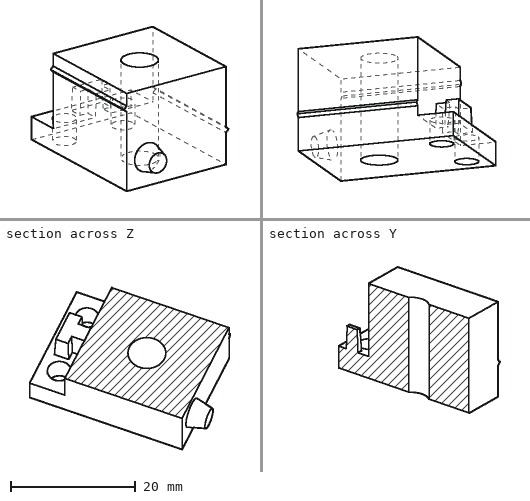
import cadquery as cq

total_length = 29.5
width = 19.5
base_height = 3.98
total_height = 17.0
block_start = 6.08
peg_length = 2.98
block_end = total_length - peg_length
block_length = block_end - block_start

bore_diameter = 6.0
mount_hole_diameter = 3.8
mount_hole_x = 3.48
mount_hole_offset = 5.72

ridge_depth = 0.5
front_ridge_z = 14.3
back_ridge_z = 6.05

key_start = 1.5
key_bar_end = 3.98
key_bar_width = 6.05
key_stem_width = 3.05
key_height = 4.07
key_inset = 0.18

peg_root_diameter = 4.93
peg_tip_diameter = 3.42
peg_y = -mount_hole_offset
peg_z = 5.0


def make_body():
    profile = [
        (0, 0),
        (block_end, 0),
        (block_end, total_height),
        (block_start, total_height),
        (block_start, base_height),
        (0, base_height),
    ]
    return cq.Workplane("XZ").polyline(profile).close().extrude(width / 2, both=True)


def make_ridge(side, z):
    """V ridge the full length of the block; side is -1 for -Y and 1 for +Y."""
    face_y = side * width / 2
    profile = [
        (face_y, z - ridge_depth),
        (face_y + side * ridge_depth, z),
        (face_y, z + ridge_depth),
    ]
    return cq.Workplane("YZ", origin=(block_start, 0, 0)).polyline(profile).close().extrude(block_length)


def key_outline(inset):
    """T outline with its free sides moved inward; the stem always ends at the block."""
    bar_half = key_bar_width / 2 - inset
    stem_half = key_stem_width / 2 - inset
    front = key_start + inset
    bar_end = key_bar_end - inset
    return [
        (front, -bar_half),
        (bar_end, -bar_half),
        (bar_end, -stem_half),
        (block_start, -stem_half),
        (block_start, stem_half),
        (bar_end, stem_half),
        (bar_end, bar_half),
        (front, bar_half),
    ]


def make_key():
    bottom = cq.Workplane("XY", origin=(0, 0, base_height)).polyline(key_outline(0)).close()
    top = bottom.workplane(offset=key_height, origin=(0, 0, base_height))
    return top.polyline(key_outline(key_inset)).close().loft(ruled=True)


def make_peg():
    root = cq.Workplane("YZ", origin=(block_end, peg_y, peg_z)).circle(peg_root_diameter / 2)
    return root.workplane(offset=peg_length).circle(peg_tip_diameter / 2).loft()


def make_hole(x, y, diameter):
    return cq.Workplane("XY").center(x, y).circle(diameter / 2).extrude(total_height)


result = make_body()
result = result.union(make_ridge(-1, front_ridge_z))
result = result.union(make_ridge(1, back_ridge_z))
result = result.union(make_key())
result = result.union(make_peg())
result = result.cut(make_hole(block_start + block_length / 2, 0, bore_diameter))
for side in (-1, 1):
    result = result.cut(make_hole(mount_hole_x, side * mount_hole_offset, mount_hole_diameter))